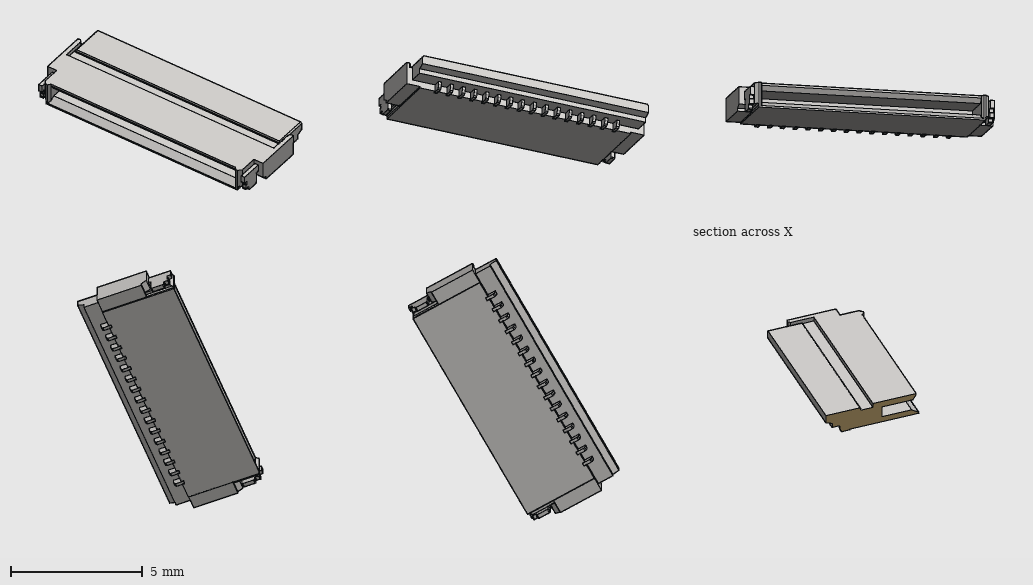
import cadquery as cq


WIDTH = 10.0
DEPTH = 3.8
HEIGHT = 1.0

SHOULDER_FRONT = 0.9
SHOULDER_BACK = 2.91
SHOULDER_BOTTOM = 0.09
SHOULDER_CUT_DEPTH = 0.21
SHOULDER_CUT_LOW = 0.2
SHOULDER_CUT_HIGH = 0.32
NOSE_WIDTH = 9.16
NOSE_BOTTOM = 0.03
NOSE_FOOT_WIDTH = 8.88
FOOT_TOP = 0.12
LEDGE_HEIGHT = 0.19
LEDGE_DEPTH = 0.1
NOSE_CORNER = (NOSE_WIDTH - NOSE_FOOT_WIDTH) / 2

MOUTH_WIDTH = 8.58
MOUTH_DEPTH = 1.5
MOUTH_FLOOR = 0.29
MOUTH_CEILING = 0.72
MOUTH_FRONT_BOTTOM = 0.095
FLOOR_RAMP_DEPTH = 0.3
CEILING_RAMP_DEPTH = 0.13
FLARE_DEPTH = 0.11
FLARE_WIDTH = 0.08
LIP_HEIGHT = 0.09

RECESS_WIDTH = 9.62
RECESS_FRONT = 1.88
RECESS_FLOOR = 0.82
RECESS_CORNER = 0.08
ACTUATOR_WIDTH = 9.52
ACTUATOR_FRONT = 2.37
ACTUATOR_TOP = 0.94
ACTUATOR_BOTTOM = 0.3
ACTUATOR_STEP = 3.54
ACTUATOR_STEP_TOP = 0.49
ACTUATOR_BACK_BOTTOM = 0.59
BEVEL_HEIGHT = 0.06
BEVEL_SIDE = 0.06
BEVEL_FRONT = 0.03

CONTACT_COUNT = 16
CONTACT_PITCH = 0.5
CONTACT_WIDTH = 0.12
CONTACT_FRONT = 2.81
CONTACT_BACK = 3.23
CONTACT_HEEL_LENGTH = 0.09
CONTACT_HEEL_STEP = 0.04
CONTACT_HEEL_LOW = 0.05
CONTACT_HEEL_HIGH = 0.18

TAB_THICKNESS = 0.16
TAB_OUTER = 4.78
TAB_TOP = 0.82
TAB_NECK_BOTTOM = 0.51
TAB_ROOT = 0.1
TAB_FOOT_FRONT = 0.28
TAB_FOOT_BACK = 0.8
TAB_FOOT_BEVEL = 0.04
TAB_TOE = (0.09, 0.18)
TAB_TOE_BEVEL = 0.03
TAB_NOTCH_DEPTH = 0.15
TAB_NOTCH_BOTTOM = 0.36


def side_profile(points, width, middle=0.0):
    """Extrude a (Y, Z) outline along X, centred on the given X position."""
    outline = cq.Workplane("YZ").polyline(points).close()
    return outline.extrude(width / 2, both=True).translate((middle, 0, 0))


def mirrored_section(right_points, length):
    """Extrude a symmetric (X, Z) section toward the back, given its right half."""
    left_points = [(-x, z) for x, z in reversed(right_points)]
    return cq.Workplane("XZ").polyline(right_points + left_points).close().extrude(-length)


def make_shoulders():
    cut_back = SHOULDER_FRONT + SHOULDER_CUT_DEPTH
    return side_profile(
        [
            (SHOULDER_FRONT, HEIGHT),
            (SHOULDER_BACK, HEIGHT),
            (SHOULDER_BACK, SHOULDER_BOTTOM),
            (cut_back, SHOULDER_BOTTOM),
            (cut_back, SHOULDER_CUT_LOW),
            (SHOULDER_FRONT, SHOULDER_CUT_HIGH),
        ],
        WIDTH,
    )


def make_nose():
    half = NOSE_WIDTH / 2
    foot_half = NOSE_FOOT_WIDTH / 2
    section = [
        (half, HEIGHT),
        (half, LEDGE_HEIGHT),
        (half - LEDGE_DEPTH, LEDGE_HEIGHT),
        (foot_half, FOOT_TOP),
        (foot_half, NOSE_BOTTOM),
    ]
    body = mirrored_section(section, SHOULDER_BACK)
    plan = cq.Workplane("XY").box(NOSE_WIDTH, SHOULDER_BACK, HEIGHT, centered=(True, False, False))
    plan = plan.faces("<Y").edges("|Z").chamfer(NOSE_CORNER)
    return body.intersect(plan)


def make_mouth():
    """Open space of the mouth, with ramped floor and ceiling, flared sides and a set-back lip."""
    channel = side_profile(
        [
            (0, MOUTH_FRONT_BOTTOM),
            (FLOOR_RAMP_DEPTH, MOUTH_FLOOR),
            (MOUTH_DEPTH, MOUTH_FLOOR),
            (MOUTH_DEPTH, MOUTH_CEILING),
            (FLARE_DEPTH + CEILING_RAMP_DEPTH, MOUTH_CEILING),
            (FLARE_DEPTH, HEIGHT - LIP_HEIGHT),
            (FLARE_DEPTH, HEIGHT),
            (0, HEIGHT),
        ],
        WIDTH,
    )
    half = MOUTH_WIDTH / 2
    flared_half = half + FLARE_WIDTH
    plan = (
        cq.Workplane("XY")
        .polyline(
            [
                (-flared_half, 0),
                (flared_half, 0),
                (half, FLARE_DEPTH),
                (half, MOUTH_DEPTH),
                (-half, MOUTH_DEPTH),
                (-half, FLARE_DEPTH),
            ]
        )
        .close()
        .extrude(HEIGHT)
    )
    return channel.intersect(plan)


def make_recess():
    half = RECESS_WIDTH / 2
    return (
        cq.Workplane("XY")
        .workplane(offset=RECESS_FLOOR)
        .polyline(
            [
                (-half, RECESS_FRONT),
                (half, RECESS_FRONT),
                (half, SHOULDER_BACK - RECESS_CORNER),
                (half + RECESS_CORNER, SHOULDER_BACK),
                (-half - RECESS_CORNER, SHOULDER_BACK),
                (-half, SHOULDER_BACK - RECESS_CORNER),
            ]
        )
        .close()
        .extrude(HEIGHT - RECESS_FLOOR)
    )


def make_actuator():
    bar = side_profile(
        [
            (ACTUATOR_FRONT, ACTUATOR_BOTTOM),
            (ACTUATOR_STEP, ACTUATOR_BOTTOM),
            (ACTUATOR_STEP, ACTUATOR_STEP_TOP),
            (DEPTH, ACTUATOR_BACK_BOTTOM),
            (DEPTH, ACTUATOR_TOP),
            (ACTUATOR_FRONT + BEVEL_FRONT, ACTUATOR_TOP),
            (ACTUATOR_FRONT, ACTUATOR_TOP - BEVEL_HEIGHT),
        ],
        ACTUATOR_WIDTH,
    )
    half = ACTUATOR_WIDTH / 2
    section = [
        (half, 0),
        (half, ACTUATOR_TOP - BEVEL_HEIGHT),
        (half - BEVEL_SIDE, ACTUATOR_TOP),
    ]
    return bar.intersect(mirrored_section(section, DEPTH))


def make_contact(middle):
    return side_profile(
        [
            (CONTACT_FRONT, 0),
            (CONTACT_BACK - CONTACT_HEEL_LENGTH, 0),
            (CONTACT_BACK - CONTACT_HEEL_STEP, CONTACT_HEEL_LOW),
            (CONTACT_BACK, CONTACT_HEEL_HIGH),
            (CONTACT_BACK, ACTUATOR_BOTTOM),
            (CONTACT_FRONT, ACTUATOR_BOTTOM),
        ],
        CONTACT_WIDTH,
        middle,
    )


def make_tab(side):
    """Solder tab on one side (-1 or 1), rooted in the front of the shoulder."""
    root = SHOULDER_FRONT + TAB_ROOT
    toe_y, toe_z = TAB_TOE
    outline = [
        (0, TAB_TOP),
        (root, TAB_TOP),
        (root, TAB_NECK_BOTTOM),
        (TAB_FOOT_BACK + TAB_FOOT_BEVEL, TAB_NECK_BOTTOM),
        (TAB_FOOT_BACK, TAB_NECK_BOTTOM - TAB_FOOT_BEVEL),
        (TAB_FOOT_BACK, TAB_FOOT_BEVEL),
        (TAB_FOOT_BACK - TAB_FOOT_BEVEL, 0),
        (TAB_FOOT_FRONT + TAB_FOOT_BEVEL, 0),
        (TAB_FOOT_FRONT, TAB_FOOT_BEVEL),
        (TAB_FOOT_FRONT, toe_z - TAB_TOE_BEVEL),
        (TAB_FOOT_FRONT - TAB_TOE_BEVEL, toe_z),
        (toe_y + TAB_TOE_BEVEL, toe_z),
        (toe_y, toe_z - TAB_TOE_BEVEL),
        (toe_y, TAB_NOTCH_BOTTOM),
        (TAB_NOTCH_DEPTH, TAB_NOTCH_BOTTOM),
        (TAB_NOTCH_DEPTH, TAB_NECK_BOTTOM),
        (0, TAB_NECK_BOTTOM),
    ]
    return side_profile(outline, TAB_THICKNESS, side * (TAB_OUTER - TAB_THICKNESS / 2))


housing = make_shoulders().union(make_nose()).cut(make_mouth()).cut(make_recess())
result = housing.union(make_actuator())

for index in range(CONTACT_COUNT):
    contact_middle = (index - (CONTACT_COUNT - 1) / 2) * CONTACT_PITCH
    result = result.union(make_contact(contact_middle))

for side in (-1, 1):
    result = result.union(make_tab(side))